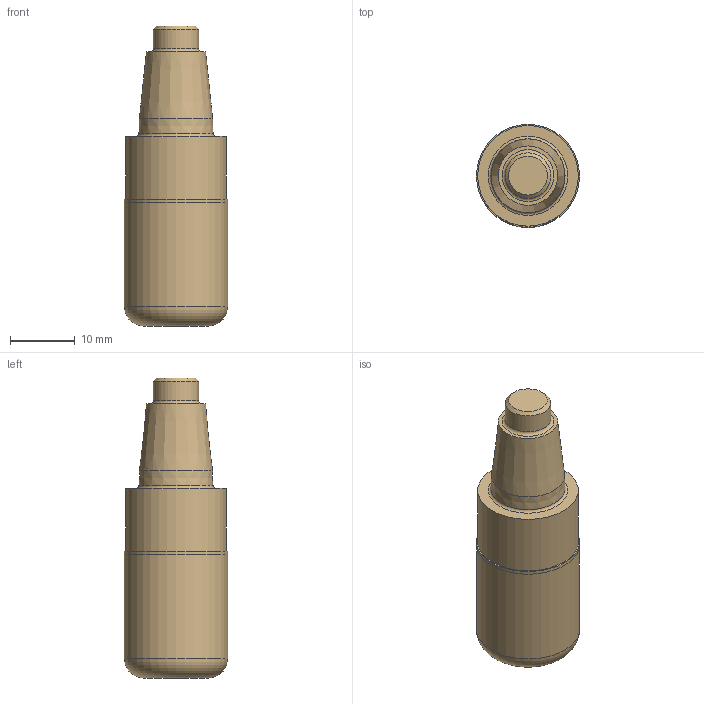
import cadquery as cq

overall_height = 46.2

housing_diameter = 15.88
housing_height = 19.0
bottom_radius = 3.0

rim_height = 0.5
shoulder_diameter = 15.5
shoulder_top_z = 29.2
neck_base_diameter = 11.44
neck_base_fillet = 0.4
neck_bend_diameter = 11.27
neck_bend_height = 2.75
neck_top_diameter = 9.14
tip_diameter = 7.0
tip_height = 4.0
tip_fillet = 0.5
tip_chamfer = 0.5

rim_top_z = housing_height + rim_height
neck_bend_z = shoulder_top_z + neck_bend_height
neck_top_z = overall_height - tip_height
housing_radius = housing_diameter / 2
shoulder_radius = shoulder_diameter / 2
tip_radius = tip_diameter / 2

level_tolerance = 0.01


def make_housing():
    """Cylinder standing on its rounded end, with a flat top that carries the plug."""
    body = cq.Workplane("XY").circle(housing_radius).extrude(housing_height)
    return body.faces("<Z").edges().fillet(bottom_radius)


def fillet_root(body, z, radius):
    """Fillet the inside corner at level z, which is the smaller of the two circles there."""
    level = cq.selectors.BoxSelector(
        (-housing_radius, -housing_radius, z - level_tolerance),
        (housing_radius, housing_radius, z + level_tolerance),
        boundingbox=True,
    )
    smallest_circle = cq.selectors.RadiusNthSelector(0)
    return body.edges(level).edges(smallest_circle).fillet(radius)


def make_plug():
    """Stepped and tapered plug, revolved about Z and resting on top of the housing."""
    half_section = (
        cq.Workplane("XZ")
        .moveTo(0, housing_height)
        .lineTo(housing_radius, housing_height)
        .lineTo(housing_radius, rim_top_z)
        .lineTo(shoulder_radius, rim_top_z)
        .lineTo(shoulder_radius, shoulder_top_z)
        .lineTo(neck_base_diameter / 2, shoulder_top_z)
        .lineTo(neck_bend_diameter / 2, neck_bend_z)
        .lineTo(neck_top_diameter / 2, neck_top_z)
        .lineTo(tip_radius, neck_top_z)
        .lineTo(tip_radius, overall_height)
        .lineTo(0, overall_height)
        .close()
    )
    body = half_section.revolve(360, (0, 0, 0), (0, 1, 0))
    body = body.faces(">Z").edges().chamfer(tip_chamfer)
    body = fillet_root(body, neck_top_z, tip_fillet)
    return fillet_root(body, shoulder_top_z, neck_base_fillet)


housing = make_housing()
plug = make_plug()

result = cq.Compound.makeCompound([housing.solids().val(), plug.solids().val()])